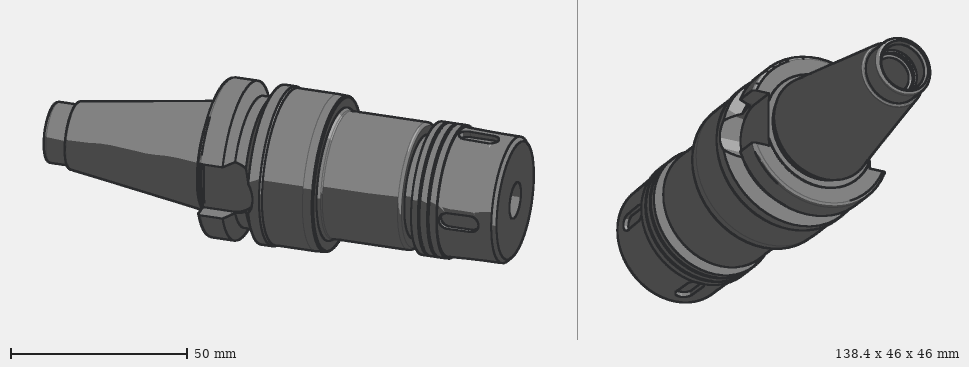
import cadquery as cq
import math

FLANGE_D = 46.0

NOSE_X = -48.4
NOSE_D = 17.6
NOSE_FILLET = 0.95
TAPER_START_X = -41.65
TAPER_START_FILLET = 0.5
TAPER_RATE = 7.0 / 24.0
GAUGE_D = 31.75
RELIEF_D = 30.8
UNDERCUT_X = 0.6
UNDERCUT_CONE_LENGTH = 0.5
UNDERCUT_D = 30.0
FACE_GROOVE_D = 34.7
FACE_GROOVE_DEPTH = 0.35

FLANGE_X = 2.0
FLANGE_FILLET = 1.0
V_CENTRE_X = 13.6
V_BOTTOM_D = 38.0
V_BOTTOM_WIDTH = 3.4
V_HALF_ANGLE = 30.0
FLANGE_END_X = 21.7
FLANGE_END_CHAMFER_LENGTH = 0.75

COLLAR_D = 45.2
COLLAR_TAPER_X = 33.8
COLLAR_END_X = 36.9
COLLAR_END_D = 44.9
COLLAR_END_CHAMFER = 0.4

BODY_ROOT_D = 38.4
BODY_X = 38.4
BODY_BLEND_X = 37.9
BODY_BLEND_D = 37.1
BODY_D = 36.8
BODY_END_X = 61.75
BODY_FILLET = 0.9
NECK_D = 30.0

NUT_X = 65.15
NUT_RING_D = 38.4
NUT_RING_END_X = 72.7
NUT_GROOVE_XS = (67.2, 69.95)
NUT_GROOVE_WIDTH = 0.4
NUT_GROOVE_DEPTH = 0.4
NUT_BACK_D = 37.3
NUT_FRONT_D = 36.4
NUT_END_X = 90.0
NUT_END_CHAMFER = 1.2

DRIVE_WIDTH = 16.3
DRIVE_FLOOR = 16.3
DRIVE_END_X = 19.0

SPANNER_COUNT = 4
SPANNER_WIDTH = 5.0
SPANNER_X = 73.3
SPANNER_END_X = 85.0
SPANNER_DEPTH = 1.5

MOUTH_D = 15.4
MOUTH_LENGTH = 0.9
ENTRY_D = 13.8
ENTRY_END_X = -43.2
THREAD_D = 12.5
CORE_D = 10.5
CORE_X = -41.4
BORE_CONE_LENGTH = 0.35

CUT_MARGIN = 1.0


def make_body():
    """Revolve the half profile of the shank, bore, flange, collar, body and nut."""
    nose_r = NOSE_D / 2
    entry_r = ENTRY_D / 2
    core_r = CORE_D / 2
    thread_r = THREAD_D / 2
    flange_r = FLANGE_D / 2
    body_r = BODY_D / 2
    taper_edge_x = TAPER_START_X + TAPER_START_FILLET
    taper_edge_r = (GAUGE_D + taper_edge_x * TAPER_RATE) / 2
    face_groove_x = FLANGE_X + FACE_GROOVE_DEPTH
    v_bottom = V_BOTTOM_WIDTH / 2
    v_top = v_bottom + (FLANGE_D - V_BOTTOM_D) / 2 * math.tan(math.radians(V_HALF_ANGLE))

    profile = (
        cq.Workplane("XY")
        .moveTo(NUT_END_X, core_r)
        .lineTo(CORE_X, core_r)
        .lineTo(CORE_X - BORE_CONE_LENGTH, thread_r)
        .lineTo(ENTRY_END_X + BORE_CONE_LENGTH, thread_r)
        .lineTo(ENTRY_END_X, entry_r)
        .lineTo(NOSE_X + MOUTH_LENGTH, entry_r)
        .lineTo(NOSE_X, MOUTH_D / 2)
        .lineTo(NOSE_X, nose_r - NOSE_FILLET)
        .radiusArc((NOSE_X + NOSE_FILLET, nose_r), NOSE_FILLET)
        .lineTo(TAPER_START_X, nose_r)
        .lineTo(TAPER_START_X, taper_edge_r - TAPER_START_FILLET)
        .radiusArc((taper_edge_x, taper_edge_r), TAPER_START_FILLET)
        .lineTo(0, GAUGE_D / 2)
        .lineTo(0, RELIEF_D / 2)
        .lineTo(UNDERCUT_X, RELIEF_D / 2)
        .lineTo(UNDERCUT_X + UNDERCUT_CONE_LENGTH, UNDERCUT_D / 2)
        .lineTo(face_groove_x, UNDERCUT_D / 2)
        .lineTo(face_groove_x, FACE_GROOVE_D / 2)
        .lineTo(FLANGE_X, FACE_GROOVE_D / 2)
        .lineTo(FLANGE_X, flange_r - FLANGE_FILLET)
        .radiusArc((FLANGE_X + FLANGE_FILLET, flange_r), FLANGE_FILLET)
        .lineTo(V_CENTRE_X - v_top, flange_r)
        .lineTo(V_CENTRE_X - v_bottom, V_BOTTOM_D / 2)
        .lineTo(V_CENTRE_X + v_bottom, V_BOTTOM_D / 2)
        .lineTo(V_CENTRE_X + v_top, flange_r)
        .lineTo(FLANGE_END_X - FLANGE_END_CHAMFER_LENGTH, flange_r)
        .lineTo(FLANGE_END_X, COLLAR_D / 2)
        .lineTo(COLLAR_TAPER_X, COLLAR_D / 2)
        .lineTo(COLLAR_END_X - COLLAR_END_CHAMFER, COLLAR_END_D / 2)
        .lineTo(COLLAR_END_X, COLLAR_END_D / 2 - COLLAR_END_CHAMFER)
        .lineTo(COLLAR_END_X, BODY_ROOT_D / 2)
        .lineTo(BODY_BLEND_X, BODY_BLEND_D / 2)
        .lineTo(BODY_X, body_r)
        .lineTo(BODY_END_X - BODY_FILLET, body_r)
        .radiusArc((BODY_END_X, body_r - BODY_FILLET), BODY_FILLET)
        .lineTo(BODY_END_X, NECK_D / 2)
        .lineTo(NUT_X, NECK_D / 2)
        .lineTo(NUT_X, NUT_RING_D / 2)
        .lineTo(NUT_RING_END_X, NUT_RING_D / 2)
        .lineTo(NUT_RING_END_X, NUT_BACK_D / 2)
        .lineTo(NUT_END_X - NUT_END_CHAMFER, NUT_FRONT_D / 2)
        .lineTo(NUT_END_X, NUT_FRONT_D / 2 - NUT_END_CHAMFER)
        .close()
    )
    return profile.revolve(360, (0, 0, 0), (1, 0, 0))


def axial_cylinder(start_x, end_x, diameter):
    """Return a cylinder on the holder axis between two X positions."""
    return cq.Workplane("YZ", origin=(start_x, 0, 0)).circle(diameter / 2).extrude(end_x - start_x)


def make_nut_grooves():
    """Ring cutters for the thin grooves around the nut collar."""
    grooves = cq.Workplane("XY")
    for groove_x in NUT_GROOVE_XS:
        end_x = groove_x + NUT_GROOVE_WIDTH
        outer = axial_cylinder(groove_x, end_x, NUT_RING_D + 2 * CUT_MARGIN)
        inner = axial_cylinder(groove_x, end_x, NUT_RING_D - 2 * NUT_GROOVE_DEPTH)
        grooves = grooves.add(outer.cut(inner))
    return grooves.combine()


def make_drive_slot():
    """Round-ended slot on the +Y side, open towards the taper."""
    half = DRIVE_WIDTH / 2
    arc_x = DRIVE_END_X - half
    return (
        cq.Workplane("XZ", origin=(0, FLANGE_D, 0))
        .moveTo(FLANGE_X - CUT_MARGIN, -half)
        .lineTo(arc_x, -half)
        .threePointArc((DRIVE_END_X, 0), (arc_x, half))
        .lineTo(FLANGE_X - CUT_MARGIN, half)
        .close()
        .extrude(FLANGE_D - DRIVE_FLOOR)
    )


def make_spanner_slot():
    """Flat-bottomed slot in the +Z side of the nut."""
    length = SPANNER_END_X - SPANNER_X
    floor = NUT_FRONT_D / 2 - SPANNER_DEPTH
    return (
        cq.Workplane("XY", origin=((SPANNER_X + SPANNER_END_X) / 2, 0, floor))
        .slot2D(length, SPANNER_WIDTH)
        .extrude(FLANGE_D / 2 - floor)
    )


result = make_body().cut(make_nut_grooves())

for angle in (0, 180):
    result = result.cut(make_drive_slot().rotate((0, 0, 0), (1, 0, 0), angle))

for index in range(SPANNER_COUNT):
    angle = 360 / SPANNER_COUNT * index
    result = result.cut(make_spanner_slot().rotate((0, 0, 0), (1, 0, 0), angle))